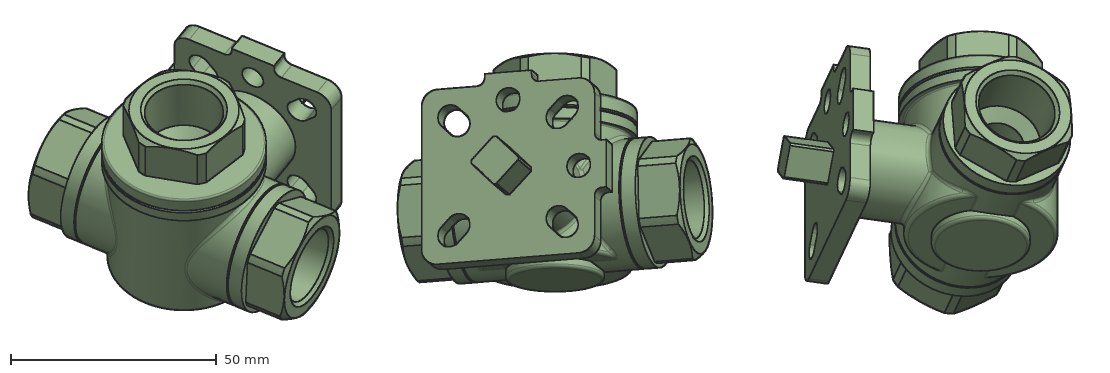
import cadquery as cq
import math

port_reach = 36.0
body_radius = 18.7
body_top = 17.85
body_bottom = -15.05
body_edge_fillet = 1.0
collar_fillet = 0.35
joint_fillet = 1.0

collar_radius = 20.0
collar_top = 25.0
collar_edge_fillet = 0.5
collar_groove_middle = 20.95
collar_groove_width = 0.7

port_radius = 16.0
port_shoulder = 25.4
port_groove_middle = 21.45
port_groove_width = 0.4

hex_across_flats = 27.0
hex_corner_radius = 15.0
hex_face_radius = 13.4
hex_chamfer_angle = 30.0
side_hex_turn = -4.0
top_hex_turn = 17.0

bore_radius = 6.0
socket_radius = 9.6
socket_mouth_radius = 10.5
socket_depth = 15.0
socket_cone_angle = 30.0

boss_radius = 12.0
boss_bottom = -17.5
boss_fillet = 0.9

neck_radius = 12.0
plate_front = 33.4
plate_back = 38.5
plate_half_width = 22.0
plate_corner_radius = 4.0
tab_reach = 25.0
tab_half_width = 6.0
tab_fillet = 2.0

bolt_hole_diameter = 6.0
inner_bolt_radius = 18.0
outer_bolt_radius = 21.0

stem_end = 49.5
stem_across_flats = 9.0
stem_corner_radius = 6.0


def disc(radius, bottom, top):
    """Cylinder about Z between two heights."""
    return cq.Workplane("XY").workplane(offset=bottom).circle(radius).extrude(top - bottom)


def v_groove(radius, middle, width):
    """Cutter for a V groove with 45 degree walls around a cylinder about Z."""
    half_width = width / 2
    return (
        cq.Workplane("XZ")
        .moveTo(radius - half_width, middle)
        .lineTo(radius + half_width, middle - width)
        .lineTo(radius + half_width, middle + width)
        .close()
        .revolve(360, (0, 0, 0), (0, 1, 0))
    )


def along_x(shape, side):
    """Turn a shape standing on Z so that it points along +X (side 1) or -X (side -1)."""
    return shape.rotate((0, 0, 0), (0, 1, 0), side * 90)


def along_y(shape):
    """Turn a shape standing on Z so that it points along +Y."""
    return shape.rotate((0, 0, 0), (1, 0, 0), -90)


def hex_end(start, turn):
    """Hexagonal port end about Z with turned corners and a conical end chamfer."""
    hexagon = (
        cq.Workplane("XY")
        .workplane(offset=start)
        .polygon(6, hex_across_flats / math.cos(math.pi / 6))
        .extrude(port_reach - start)
        .rotate((0, 0, 0), (0, 0, 1), turn)
    )
    chamfer_drop = (hex_corner_radius - hex_face_radius) * math.tan(math.radians(hex_chamfer_angle))
    envelope = (
        cq.Workplane("XZ")
        .moveTo(0, start)
        .lineTo(hex_corner_radius, start)
        .lineTo(hex_corner_radius, port_reach - chamfer_drop)
        .lineTo(hex_face_radius, port_reach)
        .lineTo(0, port_reach)
        .close()
        .revolve(360, (0, 0, 0), (0, 1, 0))
    )
    return hexagon.intersect(envelope)


def port_bore():
    """Cutter about Z: chamfered mouth, socket, shallow drill cone and bore to the centre."""
    mouth_depth = socket_mouth_radius - socket_radius
    socket_end = port_reach - socket_depth
    cone_depth = (socket_radius - bore_radius) * math.tan(math.radians(socket_cone_angle))
    cone_end = socket_end - cone_depth
    return (
        cq.Workplane("XZ")
        .moveTo(0, 0)
        .lineTo(bore_radius, 0)
        .lineTo(bore_radius, cone_end)
        .lineTo(socket_radius, socket_end)
        .lineTo(socket_radius, port_reach - mouth_depth)
        .lineTo(socket_mouth_radius, port_reach)
        .lineTo(0, port_reach)
        .close()
        .revolve(360, (0, 0, 0), (0, 1, 0))
    )


def collar():
    """Flange under the top hexagon, with a groove around it."""
    flange = disc(collar_radius, body_top, collar_top).faces(">Z").edges().fillet(collar_edge_fillet)
    return flange.cut(v_groove(collar_radius, collar_groove_middle, collar_groove_width))


def valve_body():
    """Main barrel with its collar, side barrels and actuator neck, with blended joints."""
    barrel = disc(body_radius, body_bottom, body_top).faces("<Z").edges().fillet(body_edge_fillet)
    barrel = barrel.union(collar())
    collar_underside = barrel.faces(cq.selectors.NearestToPointSelector((0, 0, body_top)))
    barrel = collar_underside.edges(cq.selectors.RadiusNthSelector(0)).fillet(collar_fillet)
    side_barrels = along_x(disc(port_radius, -port_shoulder, port_shoulder), 1)
    neck = along_y(disc(neck_radius, 0, plate_front))
    body = barrel.union(side_barrels).union(neck).edges("%BSPLINE").fillet(joint_fillet)
    for side in (-1, 1):
        body = body.cut(along_x(v_groove(port_radius, port_groove_middle, port_groove_width), side))
    return body


def bottom_boss():
    """Round pad under the body."""
    return disc(boss_radius, boss_bottom, 0).faces("<Z").edges().fillet(boss_fillet)


def mounting_plate():
    """Actuator plate with tabs on its -X and +Z edges, a bolt hole behind each tab and four corner slots."""
    thickness = plate_back - plate_front
    plate_middle = (plate_front + plate_back) / 2
    plate_plane = cq.Workplane("XZ", origin=(0, plate_back, 0))
    plate = plate_plane.rect(2 * plate_half_width, 2 * plate_half_width).extrude(thickness)
    plate = plate.edges("|Y").fillet(plate_corner_radius)
    top_tab = plate_plane.center(0, tab_reach / 2).rect(2 * tab_half_width, tab_reach).extrude(thickness)
    left_tab = plate_plane.center(-tab_reach / 2, 0).rect(tab_reach, 2 * tab_half_width).extrude(thickness)
    plate = plate.union(top_tab).union(left_tab)
    inner_corners = [(x, plate_half_width) for x in (-tab_half_width, tab_half_width)]
    inner_corners += [(-plate_half_width, z) for z in (-tab_half_width, tab_half_width)]
    for x, z in inner_corners:
        corner = cq.selectors.NearestToPointSelector((x, plate_middle, z))
        plate = plate.edges(corner).fillet(tab_fillet)
    hole_spots = [(-inner_bolt_radius, 0), (0, inner_bolt_radius)]
    holes = plate_plane.pushPoints(hole_spots).circle(bolt_hole_diameter / 2).extrude(thickness)
    slot_length = outer_bolt_radius - inner_bolt_radius + bolt_hole_diameter
    slots = (
        plate_plane.polarArray((inner_bolt_radius + outer_bolt_radius) / 2, 45, 360, 4)
        .slot2D(slot_length, bolt_hole_diameter)
        .extrude(thickness)
    )
    return plate.cut(holes).cut(slots)


def stem():
    """Square drive set on its corner, with the corners turned down."""
    square = (
        cq.Workplane("XY")
        .workplane(offset=plate_back)
        .rect(stem_across_flats, stem_across_flats)
        .extrude(stem_end - plate_back)
        .rotate((0, 0, 0), (0, 0, 1), 45)
    )
    return along_y(square.intersect(disc(stem_corner_radius, plate_back, stem_end)))


result = valve_body().union(bottom_boss()).union(mounting_plate()).union(stem())
result = result.union(hex_end(collar_top, top_hex_turn))
for side in (-1, 1):
    result = result.union(along_x(hex_end(port_shoulder, side * side_hex_turn), side))
    result = result.cut(along_x(port_bore(), side))
result = result.cut(port_bore())